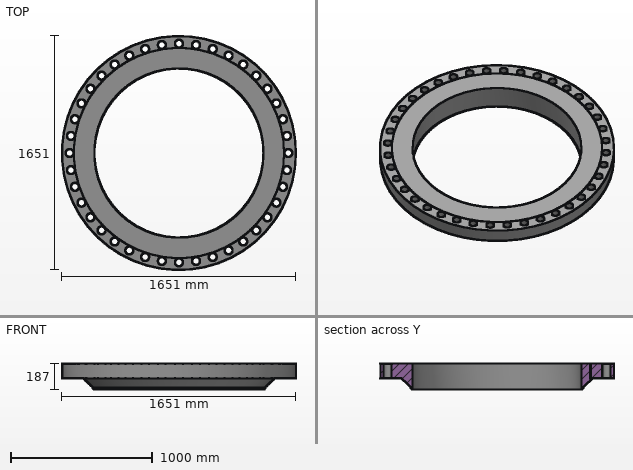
import cadquery as cq

flange_diameter = 1651.0
total_height = 187.0
bore_diameter = 1190.0

raised_face_diameter = 1483.0
raised_face_height = 2.0
flange_thickness = 105.0

hub_top_diameter = 1354.0
hub_bottom_diameter = 1218.0
weld_end_diameter = 1199.0
bevel_height = 12.0
hub_land_height = 5.0

bolt_count = 40
bolt_circle_diameter = 1542.0
bolt_hole_diameter = 55.0

plate_bottom_z = total_height - flange_thickness
plate_top_z = total_height - raised_face_height


def make_body():
    """Revolve the half section of the flange about the Z axis."""
    return (
        cq.Workplane("XZ")
        .moveTo(bore_diameter / 2, 0)
        .lineTo(weld_end_diameter / 2, 0)
        .lineTo(hub_bottom_diameter / 2, bevel_height)
        .lineTo(hub_bottom_diameter / 2, bevel_height + hub_land_height)
        .lineTo(hub_top_diameter / 2, plate_bottom_z)
        .lineTo(flange_diameter / 2, plate_bottom_z)
        .lineTo(flange_diameter / 2, plate_top_z)
        .lineTo(raised_face_diameter / 2, plate_top_z)
        .lineTo(raised_face_diameter / 2, total_height)
        .lineTo(bore_diameter / 2, total_height)
        .close()
        .revolve(360, (0, 0, 0), (0, 1, 0))
    )


def make_bolt_holes():
    """Cylinders through the plate, evenly spaced with the first on +X."""
    return (
        cq.Workplane("XY")
        .workplane(offset=plate_bottom_z)
        .polarArray(bolt_circle_diameter / 2, 0, 360, bolt_count)
        .circle(bolt_hole_diameter / 2)
        .extrude(flange_thickness)
    )


result = make_body().cut(make_bolt_holes())